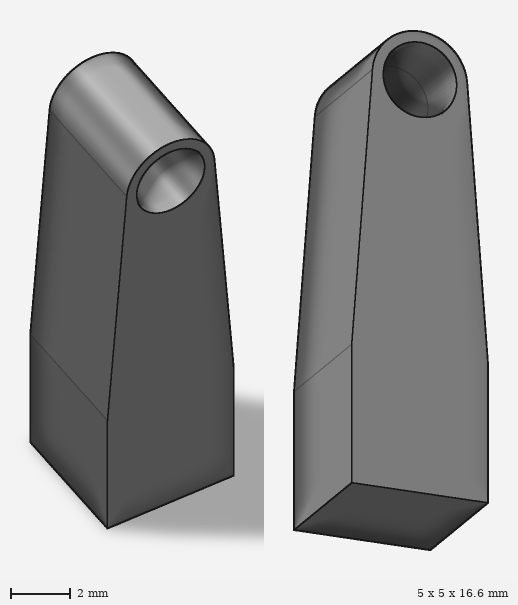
import cadquery as cq
import math

height = 16.62
width = 5.0
base_height = 5.0
eye_radius = 1.75
hole_diameter = 2.7

half_width = width / 2
eye_z = height - eye_radius

rise = eye_z - base_height
corner_distance = math.hypot(half_width, rise)
corner_angle = math.atan2(-rise, half_width)
tangent_angle = corner_angle + math.acos(eye_radius / corner_distance)
tangent_y = eye_radius * math.cos(tangent_angle)
tangent_z = eye_z + eye_radius * math.sin(tangent_angle)


def make_body():
    """Extrude the tapered, round-topped YZ outline along X."""
    return (
        cq.Workplane("YZ")
        .moveTo(-half_width, 0)
        .lineTo(half_width, 0)
        .lineTo(half_width, base_height)
        .lineTo(tangent_y, tangent_z)
        .threePointArc((0, height), (-tangent_y, tangent_z))
        .lineTo(-half_width, base_height)
        .close()
        .extrude(half_width, both=True)
    )


def make_hole():
    """Through hole along X, concentric with the rounded top."""
    return (
        cq.Workplane("YZ")
        .center(0, eye_z)
        .circle(hole_diameter / 2)
        .extrude(width, both=True)
    )


result = make_body().cut(make_hole())